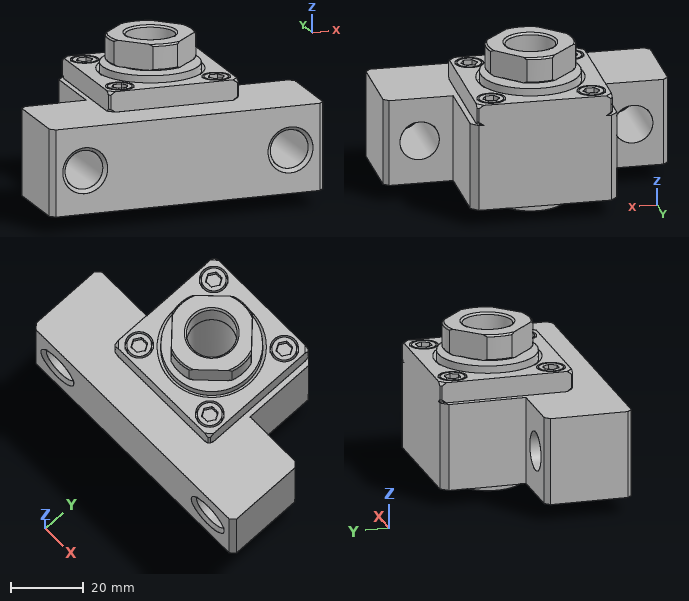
import cadquery as cq
import math

overall_depth = 49.0
overall_height = 46.0

bar_width = 80.0
bar_depth = 25.0
bar_corner_chamfer = 1.4
rear_width = 41.2
rear_corner_chamfer = 2.0
block_height = 25.0
block_bottom = 5.0
block_top = block_bottom + block_height

mount_spacing = 60.0
mount_diameter = 11.0
mount_mouth_diameter = 13.1

cover_side = 38.0
cover_thickness = 5.8
cover_edge_chamfer = 0.5
cover_corner_cut = 1.8
cover_corner_drop = cover_corner_cut / math.sqrt(2)
cover_top = block_top + cover_thickness
spindle_y = overall_depth - cover_side / 2

screw_spacing = 28.2
screw_pocket_diameter = 7.8
screw_head_diameter = 6.8
screw_gap_depth = 2.4
screw_socket_flats = 4.0
screw_socket_depth = 1.4

seat_diameter = 28.1
seat_mouth_diameter = 30.0

shaft_diameter = 19.5
ring_diameter = 28.0
ring_top = 37.6
neck_diameter = 18.0
shoulder_diameter = 20.0
shoulder_height = 0.4
nut_diameter = 25.0
nut_flats = 22.0
nut_height = 7.5
nut_chamfer = 0.5
nut_bottom = overall_height - nut_height
shoulder_bottom = nut_bottom - shoulder_height

nut_bore_diameter = 13.9
shaft_bore_diameter = 15.0


def cylinder(diameter, bottom, top):
    """Cylinder on the spindle axis between two heights."""
    return (
        cq.Workplane("XY", origin=(0, spindle_y, bottom))
        .circle(diameter / 2)
        .extrude(top - bottom)
    )


def mouth_cone(mouth_diameter, hole_diameter, mouth, direction):
    """45 degree countersink cone, from its mouth point into the material."""
    depth = (mouth_diameter - hole_diameter) / 2
    start = cq.Vector(*mouth)
    axis = cq.Vector(*direction)
    return cq.Workplane(cq.Solid.makeCone(mouth_diameter / 2, hole_diameter / 2, depth, start, axis))


def make_block():
    """T-shaped block with chamfered outer corners."""
    bar = (
        cq.Workplane("XY", origin=(0, bar_depth / 2, block_bottom))
        .rect(bar_width, bar_depth)
        .extrude(block_height)
        .edges("|Z")
        .chamfer(bar_corner_chamfer)
    )
    rear = (
        cq.Workplane("XY", origin=(0, overall_depth / 2, block_bottom))
        .rect(rear_width, overall_depth)
        .extrude(block_height)
        .edges("|Z and >Y")
        .chamfer(rear_corner_chamfer)
    )
    return bar.union(rear)


def cut_mount_holes(body):
    """Two through holes along Y, countersunk at the front face."""
    hole_z = block_bottom + block_height / 2
    for hole_x in (-mount_spacing / 2, mount_spacing / 2):
        hole = (
            cq.Workplane("XZ", origin=(hole_x, 0, hole_z))
            .circle(mount_diameter / 2)
            .extrude(-bar_depth)
        )
        mouth = mouth_cone(mount_mouth_diameter, mount_diameter, (hole_x, 0, hole_z), (0, 1, 0))
        body = body.cut(hole).cut(mouth)
    return body


def make_cover():
    """Square plate with slightly chamfered upright edges and all eight corners cut off diagonally."""
    half_side = cover_side / 2
    cover = (
        cq.Workplane("XY", origin=(0, spindle_y, block_top))
        .rect(cover_side, cover_side)
        .extrude(cover_thickness)
        .edges("|Z")
        .chamfer(cover_edge_chamfer)
    )
    for side_x in (-1, 1):
        for side_y in (-1, 1):
            for corner_z, inward_z in ((block_top, 1), (cover_top, -1)):
                corner = cq.Vector(side_x * half_side, spindle_y + side_y * half_side, corner_z)
                cover = cover.cut(corner_wedge(corner, -side_x, -side_y, inward_z))
    return cover


def corner_wedge(corner, inward_x, inward_y, inward_z):
    """Tetrahedron at a corner whose sloping face is tilted 45 degrees from the vertical."""
    points = [
        corner,
        corner + cq.Vector(inward_x * cover_corner_cut, 0, 0),
        corner + cq.Vector(0, inward_y * cover_corner_cut, 0),
        corner + cq.Vector(0, 0, inward_z * cover_corner_drop),
    ]
    faces = []
    for skipped in points:
        triangle = [point for point in points if point is not skipped]
        faces.append(cq.Face.makeFromWires(cq.Wire.makePolygon(triangle, close=True)))
    return cq.Workplane(cq.Solid.makeSolid(cq.Shell.makeShell(faces)))


def cut_screw_details(body):
    """Ring gap around each flush screw head and the hexagon socket in it."""
    socket_corners = screw_socket_flats / math.cos(math.pi / 6)
    screws = (
        cq.Workplane("XY", origin=(0, spindle_y, cover_top))
        .rect(screw_spacing, screw_spacing, forConstruction=True)
        .vertices()
    )
    pockets = screws.circle(screw_pocket_diameter / 2).extrude(-screw_gap_depth)
    heads = screws.circle(screw_head_diameter / 2).extrude(-screw_gap_depth)
    sockets = screws.polygon(6, socket_corners).extrude(-screw_socket_depth)
    return body.cut(pockets.cut(heads)).cut(sockets)


def cut_spindle_seat(body):
    """Stepped hole that takes the spindle ring and shaft."""
    shaft_hole = cylinder(shaft_diameter, block_bottom, block_top)
    seat = cylinder(seat_diameter, block_top, cover_top)
    mouth = mouth_cone(seat_mouth_diameter, seat_diameter, (0, spindle_y, cover_top), (0, 0, -1))
    return body.cut(shaft_hole).cut(seat).cut(mouth)


def make_housing():
    """Block and cover with all of their holes."""
    body = cut_mount_holes(make_block()).union(make_cover())
    return cut_spindle_seat(cut_screw_details(body))


def make_nut():
    """Round nut with chamfered rims and four diagonal flats."""
    flats = (
        cq.Workplane("XY", origin=(0, spindle_y, nut_bottom))
        .transformed(rotate=(0, 0, 45))
        .rect(nut_flats, nut_flats)
        .extrude(nut_height)
    )
    round_nut = cylinder(nut_diameter, nut_bottom, overall_height).edges("%CIRCLE").chamfer(nut_chamfer)
    return round_nut.intersect(flats)


def make_spindle():
    """Hollow turned spindle with the nut at its upper end."""
    shaft = cylinder(shaft_diameter, 0, block_top)
    ring = cylinder(ring_diameter, block_top, ring_top)
    neck = cylinder(neck_diameter, ring_top, shoulder_bottom)
    shoulder = cylinder(shoulder_diameter, shoulder_bottom, nut_bottom)
    body = shaft.union(ring).union(neck).union(shoulder).union(make_nut())

    shaft_bore = cylinder(shaft_bore_diameter, 0, nut_bottom)
    nut_bore = cylinder(nut_bore_diameter, nut_bottom, overall_height)
    mouth = mouth_cone(shaft_bore_diameter, nut_bore_diameter, (0, spindle_y, overall_height), (0, 0, -1))
    return body.cut(shaft_bore).cut(nut_bore).cut(mouth)


housing = make_housing()
spindle = make_spindle()

result = cq.Compound.makeCompound([housing.val(), spindle.val()])